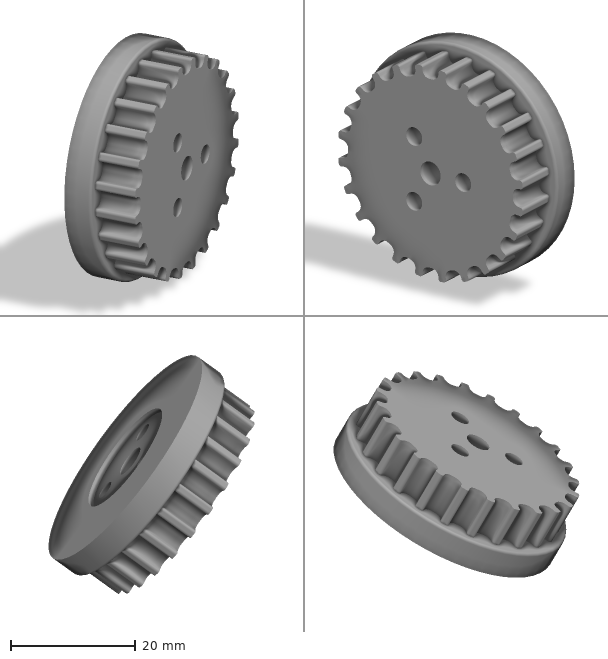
import cadquery as cq
import math


total_width = 12.0
flange_diameter = 40.0
flange_width = 4.8
flange_fillet = 0.5

tooth_count = 24
tip_radius = 18.5
groove_depth = 2.1
groove_floor_half_width = 1.45
groove_mouth_half_width = 1.7
groove_root_fillet = 1.3
tooth_tip_fillet = 0.45

recess_diameter = 19.2
recess_depth = 1.0
counterbore_diameter = 5.3
counterbore_end = flange_width
bore_diameter = 4.1
mount_hole_count = 3
mount_hole_diameter = 3.2
mount_circle_radius = 6.5


def make_flange():
    """Disc with its tooth-side rim rounded."""
    disc = cq.Workplane("YZ").circle(flange_diameter / 2).extrude(flange_width)
    return disc.faces(">X").edges().fillet(flange_fillet)


def make_groove():
    """Cutter for the tooth groove centred on +Z, with a flat floor and rounded root."""
    floor_radius = tip_radius - groove_depth
    clearance = 0.4
    flank_slope = (groove_mouth_half_width - groove_floor_half_width) / groove_depth
    top_half_width = groove_mouth_half_width + flank_slope * clearance
    top_radius = tip_radius + clearance
    cutter = (
        cq.Workplane("YZ")
        .moveTo(-groove_floor_half_width, floor_radius)
        .lineTo(groove_floor_half_width, floor_radius)
        .lineTo(top_half_width, top_radius)
        .lineTo(-top_half_width, top_radius)
        .close()
        .extrude(total_width)
    )
    return cutter.faces("<Z").edges("|X").fillet(groove_root_fillet)


def is_tip_edge(edge):
    """True for an edge lying on the tip cylinder."""
    middle = edge.Center()
    tolerance = 0.005
    return abs(math.hypot(middle.y, middle.z) - tip_radius) < tolerance


def make_toothed_rim():
    """Tip cylinder with equally spaced grooves and rounded tooth tips."""
    rim = cq.Workplane("YZ").circle(tip_radius).extrude(total_width)
    groove = make_groove()
    for index in range(tooth_count):
        angle = index * 360 / tooth_count
        rim = rim.cut(groove.rotate((0, 0, 0), (1, 0, 0), angle))
    return rim.edges("|X").filter(is_tip_edge).fillet(tooth_tip_fillet)


def make_hole(diameter, depth):
    """Cutter on the axis, running from the flange face to the given depth."""
    return cq.Workplane("YZ").circle(diameter / 2).extrude(depth)


def make_mount_holes():
    """Through holes equally spaced around the axis, the first one on +Y."""
    return (
        cq.Workplane("YZ")
        .polarArray(mount_circle_radius, 0, 360, mount_hole_count)
        .circle(mount_hole_diameter / 2)
        .extrude(total_width)
    )


result = (
    make_flange()
    .union(make_toothed_rim())
    .cut(make_hole(recess_diameter, recess_depth))
    .cut(make_hole(counterbore_diameter, counterbore_end))
    .cut(make_hole(bore_diameter, total_width))
    .cut(make_mount_holes())
)